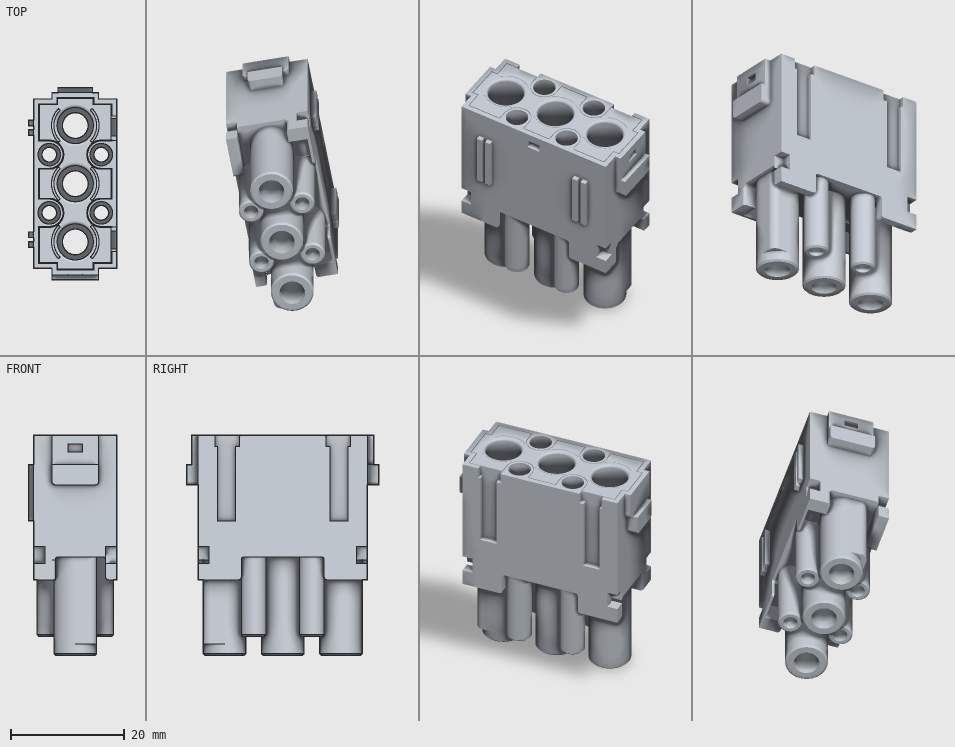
import cadquery as cq

total_x = 15.6
total_y = 34.0
top_z = 39.0

block_x = 14.7
block_y = 30.0
foot_bottom_z = 13.38
block_bottom_z = 17.45
half_x = block_x / 2
half_y = block_y / 2

foot_wall_left = -3.5
foot_wall_y = 7.35
foot_round = 0.5
foot_skin = 0.45
margin = 0.05

corner_cut = 2.0
foot_wall_right = half_x - corner_cut
corner_cut_bottom_z = 16.3
corner_cut_top_z = 19.3

tab_width = 8.25
narrow_ledge_width = 6.12
tab_reach = 1.15
ledge_reach = (total_y - block_y) / 2
ledge_top_z = 33.77
ledge_bottom_z = 30.2
tab_round = 0.95
ledge_round = 0.6
tab_root = 0.4

window_width = 2.5
window_height = 1.5
window_top_gap = 1.55
window_depth = 1.0

rib_reach = total_x - block_x
rib_width = 1.0
rib_pitch = 1.7
rib_pair_y = 9.9
rib_top_z = ledge_top_z
rib_bottom_z = 23.8

recess_y = 9.8
recess_width = 4.33
recess_depth = 2.0
slot_y = 10.0
slot_width = 3.15

large_pitch = 10.3
large_centres = [(0, large_pitch), (0, 0), (0, -large_pitch)]
small_x = 4.6
small_y = large_pitch / 2
small_centres = [(sx * small_x, sy * small_y) for sx in (-1, 1) for sy in (-1, 1)]

large_pin_radius = 3.8
large_bore_radius = 3.2
large_hole_radius = 2.25
bore_mouth_round = 0.5
small_pin_radius = 2.2
small_bore_radius = 2.0
small_hole_radius = 1.3
small_pin_tip_z = 3.4
bore_floor_z = 19.5
pin_chamfer = 0.3

shoulder_round = 1.3
shoulder_bottom_z = 2.0

groove_inset = 0.85
groove_width = 0.15
groove_depth = 0.2
small_surround_radius = 2.4
ring_inner_radius = 3.8
ring_outer_radius = 4.2
ring_depth = 0.08


def box(x0, x1, y0, y1, z0, z1):
    """Box given by its limits along each axis."""
    return cq.Workplane("XY").box(x1 - x0, y1 - y0, z1 - z0, centered=False).translate((x0, y0, z0))


def cylinders(centres, radius, z0, z1):
    """Upright cylinders of one size at all the given centres."""
    return cq.Workplane("XY").workplane(offset=z0).pushPoints(centres).circle(radius).extrude(z1 - z0)


def notch(x0, x1, y0, y1, through):
    """Notch under the block, running through it along axis "X" or "Y", with rounded upper corners."""
    cut = box(x0, x1, y0, y1, foot_bottom_z, block_bottom_z)
    return cut.edges(f"|{through} and >Z").fillet(foot_round)


def make_block():
    """Main block with two crossing notches underneath that leave four corner feet."""
    block = box(-half_x, half_x, -half_y, half_y, foot_bottom_z, top_z)
    end_notch = notch(foot_wall_left, foot_wall_right, -half_y, half_y, "Y")
    side_notch = notch(-half_x, half_x, -foot_wall_y, foot_wall_y, "X")
    block = block.cut(end_notch).cut(side_notch)
    return round_feet(block).cut(foot_edge_rounding()).cut(foot_hollows())


def round_feet(block):
    """Round the lower notch edges of the feet: all along X, and on the +X feet along Y too."""
    z0 = foot_bottom_z - margin
    z1 = foot_bottom_z + margin
    y = foot_wall_y + margin
    along_x = cq.selectors.BoxSelector((-half_x, -y, z0), (half_x, y, z1))
    block = block.edges("|X").edges(along_x).fillet(foot_round)
    along_y = cq.selectors.BoxSelector((0, -half_y, z0), (foot_wall_right + margin, half_y, z1))
    return block.edges("|Y").edges(along_y).fillet(foot_round)


def foot_edge_rounding():
    """Material to remove to round the upright notch edges of the -X feet on the two end faces."""
    z0 = foot_bottom_z
    z1 = block_bottom_z - foot_round
    x = foot_wall_left - foot_round
    rounding = cq.Workplane("XY")
    for side in (-1, 1):
        y = side * (half_y - foot_round)
        y0, y1 = sorted((y, side * half_y))
        corner = box(x, foot_wall_left, y0, y1, z0, z1)
        rounding = rounding.add(corner.cut(cylinders([(x, y)], foot_round, z0, z1)))
    return rounding.combine()


def foot_hollows():
    """Hollows in the two -X feet that clear the outer large pins and leave a thin outer skin."""
    outer_y = half_y - corner_cut - foot_skin
    hollows = cq.Workplane("XY")
    for side in (-1, 1):
        y0, y1 = sorted((side * foot_wall_y, side * outer_y))
        hollows = hollows.add(box(-half_x + foot_skin, foot_wall_left, y0, y1, foot_bottom_z, block_bottom_z))
    return hollows.combine()


def corner_cuts():
    """Square cut-outs that undercut the four vertical corners of the block."""
    cuts = cq.Workplane("XY")
    for x in (-half_x, half_x):
        for y in (-half_y, half_y):
            cuts = cuts.add(box(x - corner_cut, x + corner_cut, y - corner_cut, y + corner_cut,
                                corner_cut_bottom_z, corner_cut_top_z))
    return cuts.combine()


def tab(side, width, reach, bottom_z, upper_z, corner_round):
    """Plate on one end face, with rounded lower corners; side is -1 or 1 along Y."""
    y0, y1 = sorted((side * (half_y - tab_root), side * (half_y + reach)))
    return box(-width / 2, width / 2, y0, y1, bottom_z, upper_z).edges("|Y and <Z").fillet(corner_round)


def make_tabs():
    """Stepped latch tabs; the ledge on the +Y end is narrower than its tab."""
    front = tab(-1, tab_width, ledge_reach, ledge_bottom_z, ledge_top_z, ledge_round)
    front = front.union(box(-tab_width / 2, tab_width / 2, -half_y - tab_reach, -half_y, ledge_top_z, top_z))
    back = tab(1, tab_width, tab_reach, ledge_top_z, top_z, tab_round)
    back = back.union(tab(1, narrow_ledge_width, ledge_reach, ledge_bottom_z, ledge_top_z, ledge_round))
    return front.union(back)


def make_ribs():
    """Two pairs of coding ribs on the -X face."""
    ribs = cq.Workplane("XY")
    for pair_y in (-rib_pair_y, rib_pair_y):
        for y in (pair_y - rib_pitch / 2, pair_y + rib_pitch / 2):
            ribs = ribs.add(box(-half_x - rib_reach, -half_x, y - rib_width / 2, y + rib_width / 2,
                                rib_bottom_z, rib_top_z))
    return ribs.combine()


def coding_recesses():
    """Recesses in the +X face, open at the top, each with a deeper slot for a pair of ribs."""
    x0 = half_x - groove_inset - groove_width
    cuts = cq.Workplane("XY")
    for side in (-1, 1):
        for y, width, floor_z in (
            (side * recess_y, recess_width, top_z - recess_depth),
            (side * slot_y, slot_width, rib_bottom_z),
        ):
            cuts = cuts.add(box(x0, half_x, y - width / 2, y + width / 2, floor_z, top_z))
    return cuts.combine()


def windows():
    """Blind rectangular windows in the -Y tab and the -X face."""
    z1 = top_z - window_top_gap
    z0 = z1 - window_height
    half = window_width / 2
    tab_face = -half_y - tab_reach
    end = box(-half, half, tab_face, tab_face + window_depth, z0, z1)
    return end.union(box(-half_x, -half_x + window_depth, -half, half, z0, z1))


def make_pins():
    """Large and small round pins; the one at the -Y end has a square (+X, -Y) shoulder."""
    large = cylinders(large_centres, large_pin_radius, 0, bore_floor_z).faces("<Z").chamfer(pin_chamfer)
    small = cylinders(small_centres, small_pin_radius, small_pin_tip_z, bore_floor_z)
    pins = large.union(small.faces("<Z").chamfer(pin_chamfer))
    x, y = large_centres[-1]
    reach = large_pin_radius
    shoulder = box(x, x + reach, y - reach, y, shoulder_bottom_z, bore_floor_z)
    return pins.union(shoulder.edges("|Z and >X and <Y").fillet(shoulder_round))


def bores():
    """Stepped contact bores through the block and the pins."""
    large = cylinders(large_centres, large_bore_radius, bore_floor_z, top_z)
    small = cylinders(small_centres, small_bore_radius, bore_floor_z, top_z)
    large = large.union(cylinders(large_centres, large_hole_radius, 0, bore_floor_z))
    return large.union(small).union(cylinders(small_centres, small_hole_radius, 0, bore_floor_z))


def panel(inset):
    """Top-face panel inset from the block outline, with U-shaped clearances round the small bores."""
    z0 = top_z - groove_depth
    x = half_x - inset
    y = half_y - inset
    tab_x = tab_width / 2 - inset
    tab_y = y + tab_reach
    shape = box(-x, x, -y, y, z0, top_z).union(box(-tab_x, tab_x, -tab_y, tab_y, z0, top_z))
    radius = small_surround_radius + inset - groove_inset
    shape = shape.cut(cylinders(small_centres, radius, z0, top_z))
    for sx, sy in small_centres:
        x0, x1 = sorted((sx, 2 * sx))
        shape = shape.cut(box(x0, x1, sy - radius, sy + radius, z0, top_z))
    return shape


def quarter_rings():
    """Shallow quarter-ring pockets on the -X and +X sides of the large bores."""
    z0 = top_z - ring_depth
    ring = cylinders([(0, 0)], ring_outer_radius, z0, top_z)
    ring = ring.cut(cylinders([(0, 0)], ring_inner_radius, z0, top_z))
    reach = 2 * ring_outer_radius
    quarters = (cq.Workplane("XY").workplane(offset=z0)
                .polyline([(0, 0), (reach, reach), (reach, -reach)]).close()
                .polyline([(0, 0), (-reach, reach), (-reach, -reach)]).close()
                .extrude(ring_depth))
    ring = ring.intersect(quarters)
    rings = cq.Workplane("XY")
    for x, y in large_centres:
        rings = rings.add(ring.translate((x, y, 0)))
    return rings.combine()


def top_grooves():
    """Thin groove round the panel and quarter rings on both sides of each large bore."""
    return panel(groove_inset).cut(panel(groove_inset + groove_width)).union(quarter_rings())


body = make_block().cut(corner_cuts()).union(make_tabs()).union(make_ribs())
body = body.union(make_pins()).cut(bores())
large_mouths = cq.selectors.RadiusNthSelector(-1)
body = body.edges("%CIRCLE and >Z").edges(large_mouths).fillet(bore_mouth_round)
result = body.cut(coding_recesses()).cut(windows()).cut(top_grooves())